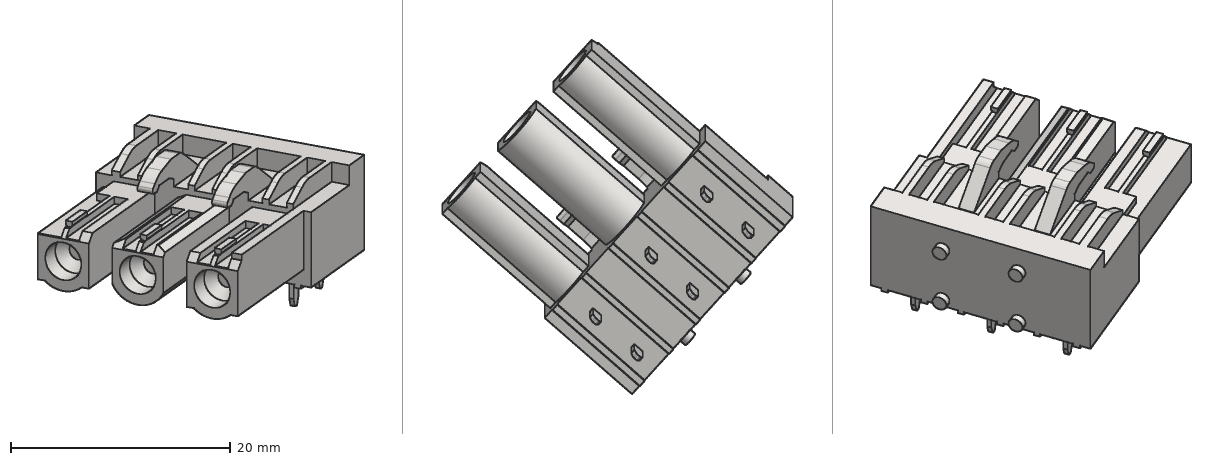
import cadquery as cq


POLE_PITCH = 7.62
POLES = [-POLE_PITCH, 0, POLE_PITCH]
GAPS = [-POLE_PITCH / 2, POLE_PITCH / 2]

HOUSING_WIDTH = 22.04
HOUSING_DEPTH = 10.67
HOUSING_HEIGHT = 9.31
DECK_HEIGHT = 7.38
BACK_WALL = 3.0

RIB_INNER = 0.91
RIB_OUTER = 1.58
RIB_FRONT_HEIGHT = 7.85
RIB_SLOPE_START = 2.5
RIB_ROUND = 3.0
END_RIB_EXTRA = 0.2

LATCH_WIDTH = 1.55
LATCH_TOP = 10.28
LATCH_ROOT = 5.45
LATCH_UNDERSIDE = 8.53
LATCH_TIP_BOTTOM = 8.05
LATCH_FOOT_TOP = 8.13
RAMP_END = (1.87, 10.0)
CREST_ROUND = (1.48, 10.21)
CREST_BACK = (1.03, LATCH_TOP)
CREST_FRONT = (-0.52, LATCH_TOP)
NOSE_BEND_START = (-2.31, 9.81)
NOSE_BEND_END = (-3.76, 9.0)
TIP_START = (-4.15, 8.65)
TIP_ROUND = (-4.25, 8.3)
TIP_END = (-3.9, LATCH_TIP_BOTTOM)
BARB_BOTTOM = (-3.4, LATCH_TIP_BOTTOM)
BARB_TOP = (-2.88, LATCH_UNDERSIDE)
HOLLOW_START = (-1.07, LATCH_UNDERSIDE)
HOLLOW_ROUND = (-0.52, 8.4)

FOOT_INNER = 1.66
FOOT_WIDTH = 0.62
END_FOOT_EXTRA = 0.07
FOOT_HEIGHT = 0.3

POST_DIAMETER = 1.4
POST_LENGTH = 0.68
POST_HEIGHTS = [0.82, 6.7]

PLUG_HALF_WIDTH = 2.62
PLUG_LENGTH = 13.19
PLUG_TOP = 6.83
PLUG_SHELF = 6.13
PLUG_SIDE_BOTTOM = 1.62
PLUG_ROUND = 2.93
BORE_HEIGHT = 3.86
BORE_RADIUS = 1.84
BORE_END_RADIUS = 0.9
BORE_DEPTH = 2.0
BORE_CONE = 1.0
NOSE_LENGTH = 0.76
NOSE_DROP = 0.78
BEVEL_TOP_HALF_WIDTH = 1.75
BEVEL_SIDE_HEIGHT = 6.41
PLATFORM_LENGTH = 3.4
RIDGE_WIDTH = 0.49
KEY_WIDTH = 0.7
KEY_START = 9.05
KEY_END = 12.03
KEY_UNDERSIDE = 7.01
KEY_FLARE_START = 6.87
TALL_RAIL_LENGTH = 12.37

PIN_THICKNESS = 0.45
PIN_WIDTH = 1.03
PIN_ROWS = [3.2, 8.24]
PIN_LENGTH = 3.46
PIN_TAPER_START = 2.6
PIN_TIP_WIDTH = 0.45
PIN_TIP_ROUND = 0.15


def block(x_min, x_max, y_min, y_max, z_min, z_max):
    """Box given by its two opposite corners."""
    size = (x_max - x_min, y_max - y_min, z_max - z_min)
    return cq.Workplane("XY").box(*size, centered=False).translate((x_min, y_min, z_min))


def side_profile(x_min):
    """Sketch plane at x_min whose two axes are Y and Z; it extrudes toward +X."""
    return cq.Workplane("YZ", origin=(x_min, 0, 0))


def front_profile(y_max):
    """Sketch plane at y_max whose two axes are X and Z; it extrudes toward -Y."""
    return cq.Workplane("XZ", origin=(0, y_max, 0))


def make_shell():
    """Block with a full-height back wall and a lower deck in front of it."""
    half = HOUSING_WIDTH / 2
    wall_front = HOUSING_DEPTH - BACK_WALL
    lower = block(-half, half, 0, HOUSING_DEPTH, 0, DECK_HEIGHT)
    wall = block(-half, half, wall_front, HOUSING_DEPTH, 0, HOUSING_HEIGHT)
    return lower.union(wall)


def make_rib(x_min, x_max):
    """Rib along Y that curves and slopes down toward the front."""
    back = HOUSING_DEPTH - BACK_WALL
    outline = [
        (0, DECK_HEIGHT),
        (back, DECK_HEIGHT),
        (back, HOUSING_HEIGHT),
        (RIB_SLOPE_START, HOUSING_HEIGHT),
        (0, RIB_FRONT_HEIGHT),
    ]
    rib = side_profile(x_min).polyline(outline).close().extrude(x_max - x_min)
    crest = cq.selectors.NearestToPointSelector((x_min, RIB_SLOPE_START, HOUSING_HEIGHT))
    return rib.edges("|X").edges(crest).fillet(RIB_ROUND)


def make_latch(x_center):
    """Hook that ramps up from the deck, arches over the front wall and ends in a rounded tip."""
    return (
        side_profile(x_center - LATCH_WIDTH / 2)
        .moveTo(0, DECK_HEIGHT)
        .lineTo(LATCH_ROOT, DECK_HEIGHT)
        .lineTo(*RAMP_END)
        .threePointArc(CREST_ROUND, CREST_BACK)
        .lineTo(*CREST_FRONT)
        .lineTo(*NOSE_BEND_START)
        .tangentArcPoint(NOSE_BEND_END, relative=False)
        .lineTo(*TIP_START)
        .threePointArc(TIP_ROUND, TIP_END)
        .lineTo(*BARB_BOTTOM)
        .lineTo(*BARB_TOP)
        .lineTo(*HOLLOW_START)
        .threePointArc(HOLLOW_ROUND, (0, LATCH_FOOT_TOP))
        .close()
        .extrude(LATCH_WIDTH)
    )


def make_foot(x_min, x_max):
    """Shallow strip along the underside of the housing."""
    return block(x_min, x_max, 0, HOUSING_DEPTH, -FOOT_HEIGHT, 0)


def make_post(x, z):
    """Round post on the back face."""
    plane = cq.Workplane("XZ", origin=(x, HOUSING_DEPTH, z))
    return plane.circle(POST_DIAMETER / 2).extrude(-POST_LENGTH)


def make_plug_body(beveled):
    """Plug prism with a rounded underside; the beveled kind has slanted top edges
    and sides that run down into the round, the square kind has flat lower corners."""
    half = PLUG_HALF_WIDTH
    sides_bottom = BORE_HEIGHT if beveled else PLUG_SIDE_BOTTOM
    body = block(-half, half, -PLUG_LENGTH, 0, sides_bottom, PLUG_TOP)
    barrel = (
        front_profile(0)
        .center(0, BORE_HEIGHT)
        .circle(PLUG_ROUND)
        .extrude(PLUG_LENGTH)
        .intersect(block(-half, half, -PLUG_LENGTH, 0, 0, BORE_HEIGHT))
    )
    body = body.union(barrel)
    if beveled:
        for side in (-1, 1):
            corner = [
                (side * BEVEL_TOP_HALF_WIDTH, PLUG_TOP),
                (side * half, PLUG_TOP),
                (side * half, BEVEL_SIDE_HEIGHT),
            ]
            body = body.cut(front_profile(0).polyline(corner).close().extrude(PLUG_LENGTH))
    return body


def make_channel(x_min, x_max, back=PLATFORM_LENGTH):
    """Space above the shelf level, running from `back` behind the front wall to the plug nose."""
    return block(x_min, x_max, -PLUG_LENGTH, -back, PLUG_SHELF, PLUG_TOP)


def make_key():
    """Flared bar on top of the central ridge."""
    outline = [
        (-RIDGE_WIDTH / 2, PLUG_TOP),
        (-RIDGE_WIDTH / 2, KEY_FLARE_START),
        (-KEY_WIDTH / 2, KEY_UNDERSIDE),
        (-KEY_WIDTH / 2, DECK_HEIGHT),
        (KEY_WIDTH / 2, DECK_HEIGHT),
        (KEY_WIDTH / 2, KEY_UNDERSIDE),
        (RIDGE_WIDTH / 2, KEY_FLARE_START),
        (RIDGE_WIDTH / 2, PLUG_TOP),
    ]
    return front_profile(-KEY_START).polyline(outline).close().extrude(KEY_END - KEY_START)


def make_nose_cut():
    """Wedge that slants the top front edge of a plug."""
    outline = [
        (-PLUG_LENGTH + NOSE_LENGTH, PLUG_TOP),
        (-PLUG_LENGTH, PLUG_TOP - NOSE_DROP),
        (-PLUG_LENGTH, PLUG_TOP),
    ]
    plane = side_profile(-PLUG_HALF_WIDTH)
    return plane.polyline(outline).close().extrude(2 * PLUG_HALF_WIDTH)


def make_bore():
    """Contact hole: a cylinder that narrows in a cone to a flat end."""
    outline = [
        (0, -PLUG_LENGTH),
        (BORE_RADIUS, -PLUG_LENGTH),
        (BORE_RADIUS, -PLUG_LENGTH + BORE_DEPTH),
        (BORE_END_RADIUS, -PLUG_LENGTH + BORE_DEPTH + BORE_CONE),
        (0, -PLUG_LENGTH + BORE_DEPTH + BORE_CONE),
    ]
    bore = cq.Workplane("XY").polyline(outline).close().revolve(360, (0, 0, 0), (0, 1, 0))
    return bore.translate((0, 0, BORE_HEIGHT))


def make_plug(kind):
    """Plug centred on X = 0. Its kind sets the keying shape: "first" has an open left shelf,
    "middle" has beveled edges and "last" has a tall right rail."""
    half = PLUG_HALF_WIDTH
    plug = make_plug_body(beveled=kind == "middle")
    left_edge = -half if kind == "first" else -RIB_OUTER
    plug = plug.cut(make_channel(left_edge, -RIDGE_WIDTH / 2))
    plug = plug.cut(make_channel(RIDGE_WIDTH / 2, RIB_OUTER))
    if kind == "first":
        plug = plug.cut(make_channel(-half, -RIB_OUTER, back=0))
    plug = plug.cut(make_nose_cut())
    if kind == "last":
        plug = plug.union(block(RIB_OUTER, half, -TALL_RAIL_LENGTH, 0, PLUG_TOP, DECK_HEIGHT))
    return plug.union(make_key()).cut(make_bore())


def make_housing():
    housing = make_shell()
    for pole in POLES:
        for side in (-1, 1):
            at_left_end = pole == POLES[0] and side == -1
            at_end = pole * side == POLE_PITCH
            rib_outer = RIB_OUTER + (END_RIB_EXTRA if at_left_end else 0)
            foot_outer = FOOT_INNER + FOOT_WIDTH + (END_FOOT_EXTRA if at_end else 0)
            rib_edges = sorted([pole + side * RIB_INNER, pole + side * rib_outer])
            foot_edges = sorted([pole + side * FOOT_INNER, pole + side * foot_outer])
            housing = housing.union(make_rib(*rib_edges)).union(make_foot(*foot_edges))
    for gap in GAPS:
        housing = housing.union(make_latch(gap))
        for height in POST_HEIGHTS:
            housing = housing.union(make_post(gap, height))
    for pole, kind in zip(POLES, ["first", "middle", "last"]):
        housing = housing.union(make_plug(kind).translate((pole, 0, 0)))
    return housing


def make_pin(x, y):
    """Flat solder pin hanging from the housing underside, with a tapered tip."""
    outline = [
        (y - PIN_WIDTH / 2, 0),
        (y + PIN_WIDTH / 2, 0),
        (y + PIN_WIDTH / 2, -PIN_TAPER_START),
        (y + PIN_TIP_WIDTH / 2, -PIN_LENGTH),
        (y - PIN_TIP_WIDTH / 2, -PIN_LENGTH),
        (y - PIN_WIDTH / 2, -PIN_TAPER_START),
    ]
    pin = side_profile(x - PIN_THICKNESS / 2).polyline(outline).close().extrude(PIN_THICKNESS)
    return pin.faces("<Z").edges("|X").fillet(PIN_TIP_ROUND)


housing = make_housing()
pins = [make_pin(x, y) for x in POLES for y in PIN_ROWS]

result = cq.Compound.makeCompound([housing.val(), *[pin.val() for pin in pins]])